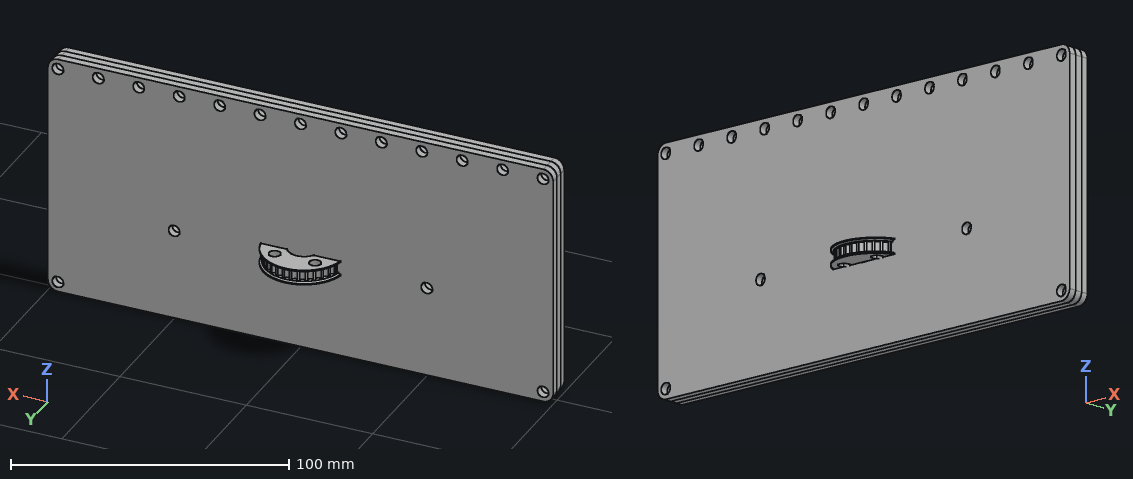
import cadquery as cq
import math

PLATE_LENGTH = 200.0
PLATE_HEIGHT = 96.0
SHEET_THICKNESS = 3.2
SHEET_COUNT = 3
CORNER_RADIUS = 4.0

HOLE_DIAMETER = 4.5
EDGE_INSET = 4.0
TOP_ROW_COUNT = 13
MOUNT_HOLE_SPACING = 100.0

FLANGE_DIAMETER = 32.2
WHEEL_WIDTH = 6.0
FLANGE_EDGE_WIDTH = 0.5
TAPER_FOOT_DIAMETER = 30.5
TRACK_WIDTH = 4.0
TRACK_DIAMETER = 29.8
TOOTH_COUNT = 32
TOOTH_GAP_WIDTH = 2.0
TOOTH_GAP_DEPTH = 1.28
BORE_DIAMETER = 12.2
WHEEL_HOLE_DIAMETER = 4.5
WHEEL_HOLE_SPACING = 16.0
WHEEL_Y = 1.5
WHEEL_Z = -12.0

TRACK_RADIUS = TRACK_DIAMETER / 2
STACK_THICKNESS = SHEET_COUNT * SHEET_THICKNESS
STACK_FRONT_Y = -STACK_THICKNESS / 2
EDGE_HOLE_X = PLATE_LENGTH / 2 - EDGE_INSET
EDGE_HOLE_Z = PLATE_HEIGHT / 2 - EDGE_INSET
TOP_ROW_PITCH = 2 * EDGE_HOLE_X / (TOP_ROW_COUNT - 1)


def hole_places():
    """X, Z centres of the top row, the two bottom corners and the two mounting holes."""
    top_row = [(-EDGE_HOLE_X + i * TOP_ROW_PITCH, EDGE_HOLE_Z) for i in range(TOP_ROW_COUNT)]
    bottom_corners = [(side * EDGE_HOLE_X, -EDGE_HOLE_Z) for side in (-1, 1)]
    mounts = [(side * MOUNT_HOLE_SPACING / 2, WHEEL_Z) for side in (-1, 1)]
    return top_row + bottom_corners + mounts


def make_wheel_blank():
    """Solid disc with two flanges, each tapering down to the belt track between them."""
    flange_radius = FLANGE_DIAMETER / 2
    taper_foot_radius = TAPER_FOOT_DIAMETER / 2
    half_width = WHEEL_WIDTH / 2
    half_track = TRACK_WIDTH / 2
    lip = half_width - FLANGE_EDGE_WIDTH
    profile = [
        (0, -half_width),
        (flange_radius, -half_width),
        (flange_radius, -lip),
        (taper_foot_radius, -half_track),
        (TRACK_RADIUS, -half_track),
        (TRACK_RADIUS, half_track),
        (taper_foot_radius, half_track),
        (flange_radius, lip),
        (flange_radius, half_width),
        (0, half_width),
    ]
    disc = cq.Workplane("XZ").polyline(profile).close().revolve(360, (0, 0), (0, 1))
    return disc.translate((0, WHEEL_Y, WHEEL_Z))


def make_wheel_body():
    """Flanged wheel with a centre bore and four screw holes, before its teeth are cut."""
    bore = (
        cq.Workplane("XY", origin=(0, WHEEL_Y, WHEEL_Z))
        .circle(BORE_DIAMETER / 2)
        .extrude(WHEEL_WIDTH, both=True)
    )
    screw_holes = (
        cq.Workplane("XY", origin=(0, WHEEL_Y, WHEEL_Z))
        .rect(WHEEL_HOLE_SPACING, WHEEL_HOLE_SPACING, forConstruction=True)
        .vertices()
        .circle(WHEEL_HOLE_DIAMETER / 2)
        .extrude(WHEEL_WIDTH, both=True)
    )
    return make_wheel_blank().cut(bore).cut(screw_holes)


def make_tooth_gap(angle):
    """One round-bottomed gap between belt teeth, as long as the track is wide."""
    half_gap = TOOTH_GAP_WIDTH / 2
    bottom_x = TRACK_RADIUS - TOOTH_GAP_DEPTH
    corner_x = math.sqrt(TRACK_RADIUS**2 - half_gap**2)
    gap = (
        cq.Workplane("XY")
        .moveTo(corner_x, -half_gap)
        .lineTo(bottom_x + half_gap, -half_gap)
        .threePointArc((bottom_x, 0), (bottom_x + half_gap, half_gap))
        .lineTo(corner_x, half_gap)
        .threePointArc((TRACK_RADIUS, 0), (corner_x, -half_gap))
        .close()
        .extrude(TRACK_WIDTH)
    )
    gap = gap.rotate((0, 0, 0), (0, 0, 1), angle)
    return gap.translate((0, WHEEL_Y, WHEEL_Z - TRACK_WIDTH / 2))


def make_wheel(body):
    """Wheel body with belt teeth left standing between evenly spaced gaps."""
    pitch_angle = 360 / TOOTH_COUNT
    gaps = [make_tooth_gap(i * pitch_angle).val() for i in range(TOOTH_COUNT)]
    return body.cut(cq.Workplane(cq.Compound.makeCompound(gaps)))


def make_sheet(index, wheel_body):
    """One drilled sheet of the stack, counted from the front, with a slot that fits the wheel."""
    sheet = (
        cq.Workplane("XZ", origin=(0, STACK_FRONT_Y + index * SHEET_THICKNESS, 0))
        .rect(PLATE_LENGTH, PLATE_HEIGHT)
        .extrude(-SHEET_THICKNESS)
        .edges("|Y")
        .fillet(CORNER_RADIUS)
    )
    holes = (
        cq.Workplane("XZ", origin=(0, STACK_FRONT_Y, 0))
        .pushPoints(hole_places())
        .circle(HOLE_DIAMETER / 2)
        .extrude(-STACK_THICKNESS)
    )
    return sheet.cut(holes).cut(wheel_body)


wheel_body = make_wheel_body()
wheel = make_wheel(wheel_body)
sheets = [make_sheet(i, wheel_body) for i in range(SHEET_COUNT)]

result = cq.Compound.makeCompound([wheel.val(), *[sheet.val() for sheet in sheets]])